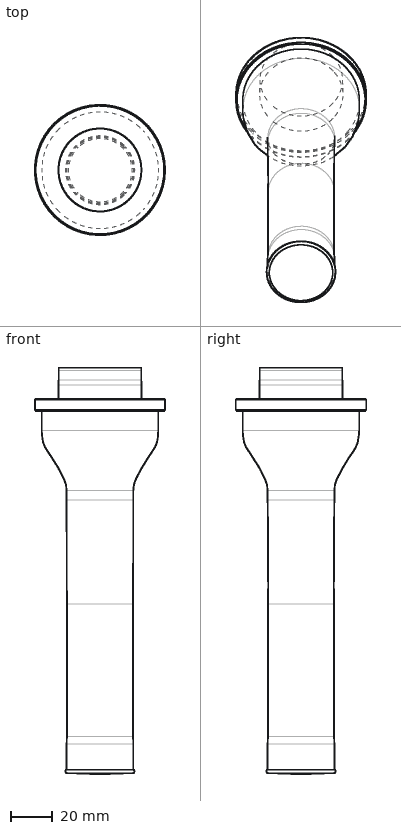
import cadquery as cq

total_height = 195.0
flange_radius = 62.5 / 2
flange_top = 180.2
flange_bottom = 174.1
flange_chamfer = 0.5

knob_base_radius = 40.0 / 2
knob_top_radius = 39.8 / 2
knob_step_height = 186.8
knob_line_height = 189.2
knob_chamfer_height = 1.4
knob_chamfer_width = 0.1

shoulder_radius = 56.0 / 2
shoulder_top = 165.0
shoulder_bottom = 136.3
bowl_radius = 25.2
bowl_height = 154.8
throat_radius = 17.2
throat_height = 141.2

stem_radius = 32.2 / 2
grip_radius = 31.8 / 2
neck_bottom = 131.6
grip_top = 81.7
grip_bottom = 18.3
foot_top = 14.6

lip_radius = 33.2 / 2
lip_top = 2.3
lip_middle = 1.5
end_radius = 15.2
end_rise = 0.5


def make_knob():
    """Round knob with a tapered upper part and a small edge chamfer."""
    outline = (
        cq.Workplane("XZ")
        .moveTo(0, flange_top)
        .lineTo(knob_base_radius, flange_top)
        .lineTo(knob_base_radius, knob_step_height)
        .lineTo(knob_top_radius, knob_line_height)
        .lineTo(knob_top_radius, total_height - knob_chamfer_height)
        .lineTo(knob_top_radius - knob_chamfer_width, total_height)
        .lineTo(0, total_height)
        .close()
    )
    return outline.revolve(360, (0, 0, 0), (0, 1, 0))


def add_shoulder(outline):
    """Continue the outline from the stem to the shoulder with a smooth S-curve."""
    upward = (0, 1)
    return outline.spline(
        [
            (throat_radius, throat_height),
            (bowl_radius, bowl_height),
            (shoulder_radius, shoulder_top),
        ],
        tangents=[upward, upward],
        includeCurrent=True,
    )


def make_body():
    """Flanged body with a curved shoulder and a long stem."""
    outline = (
        cq.Workplane("XZ")
        .moveTo(0, 0)
        .lineTo(end_radius, end_rise)
        .threePointArc((lip_radius, lip_middle), (stem_radius, lip_top))
        .lineTo(stem_radius, foot_top)
        .lineTo(grip_radius, grip_bottom)
        .lineTo(grip_radius, grip_top)
        .lineTo(stem_radius, neck_bottom)
        .lineTo(stem_radius, shoulder_bottom)
    )
    outline = (
        add_shoulder(outline)
        .lineTo(shoulder_radius, flange_bottom)
        .lineTo(flange_radius - flange_chamfer, flange_bottom)
        .lineTo(flange_radius, flange_bottom + flange_chamfer)
        .lineTo(flange_radius, flange_top - flange_chamfer)
        .lineTo(flange_radius - flange_chamfer, flange_top)
        .lineTo(0, flange_top)
        .close()
    )
    return outline.revolve(360, (0, 0, 0), (0, 1, 0))


knob = make_knob()
body = make_body()
result = cq.Compound.makeCompound([knob.val(), body.val()])